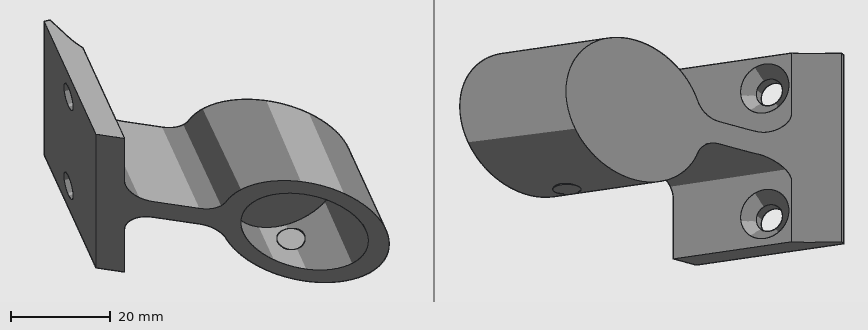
import cadquery as cq
import math

LENGTH_X = 62.0
DEPTH_Y = 51.95
PLATE_HEIGHT = 40.5
PLATE_THICKNESS = 5.1
WEB_THICKNESS = 4.8
FILLET_RADIUS = 5.0
END_ANGLE = 30.0
END_SLOPE = math.tan(math.radians(END_ANGLE))

BARREL_RADIUS = 15.0
BORE_RADIUS = 11.3
BORE_FLOOR_X = 40.9
AXIS_Y = DEPTH_Y - BARREL_RADIUS

SLANT_WIDTH = 23.05
TOE_THICKNESS = 1.25
TOE_ANGLE = 20.0
SWEEP_RADIUS = 20.0
RIGHT_FOOT_X = LENGTH_X - DEPTH_Y * END_SLOPE
LEFT_FOOT_X = RIGHT_FOOT_X - SLANT_WIDTH

MOUNT_HOLE_DIAMETER = 5.65
MOUNT_HOLE_X = 15.05
MOUNT_HOLE_SPACING = 26.9
MOUNT_HOLE_STRAIGHT = 2.65
SINK_ANGLE = 90.0

SCREW_DIAMETER = 5.7
SCREW_X = 44.9
SCREW_LENGTH = BARREL_RADIUS - BORE_RADIUS

SELECT_MARGIN = 0.05


def section_solid():
    """Plate, web and round barrel along X, with fillets where they join."""
    plate = cq.Workplane("XY").box(
        LENGTH_X, PLATE_THICKNESS, PLATE_HEIGHT, centered=(False, False, True)
    )
    web = cq.Workplane("XY").box(LENGTH_X, AXIS_Y, WEB_THICKNESS, centered=(False, False, True))
    barrel = cq.Workplane("YZ").center(AXIS_Y, 0).circle(BARREL_RADIUS).extrude(LENGTH_X)

    half_web = WEB_THICKNESS / 2
    barrel_joint_y = AXIS_Y - math.sqrt(BARREL_RADIUS**2 - half_web**2)
    body = plate.union(web).union(barrel)
    joints = cq.selectors.BoxSelector(
        (0, PLATE_THICKNESS - SELECT_MARGIN, -half_web - SELECT_MARGIN),
        (LENGTH_X, barrel_joint_y + SELECT_MARGIN, half_web + SELECT_MARGIN),
    )
    return body.edges("|X").edges(joints).fillet(FILLET_RADIUS)


def side_outline():
    """Prism between the slanted ends, with the left end swept into a thin toe."""
    toe_slope = math.tan(math.radians(TOE_ANGLE))
    corner_x = (LEFT_FOOT_X + TOE_THICKNESS * END_SLOPE) / (1 - toe_slope * END_SLOPE)
    corner_y = TOE_THICKNESS + corner_x * toe_slope
    corner = (corner_x, corner_y, 0)
    prism = (
        cq.Workplane("XY")
        .moveTo(0, 0)
        .lineTo(RIGHT_FOOT_X, 0)
        .lineTo(LENGTH_X, DEPTH_Y)
        .lineTo(LEFT_FOOT_X + DEPTH_Y * END_SLOPE, DEPTH_Y)
        .lineTo(corner_x, corner_y)
        .lineTo(0, TOE_THICKNESS)
        .close()
        .extrude(PLATE_HEIGHT / 2, both=True)
    )
    return prism.edges("|Z").edges(cq.selectors.NearestToPointSelector(corner)).fillet(SWEEP_RADIUS)


def socket_bore():
    """Flat-bottomed bore, open at the +X slanted end."""
    return (
        cq.Workplane("YZ", origin=(BORE_FLOOR_X, AXIS_Y, 0))
        .circle(BORE_RADIUS)
        .extrude(LENGTH_X - BORE_FLOOR_X)
    )


def mounting_holes():
    """Pair of holes through the plate along Y, countersunk from the barrel side."""
    radius = MOUNT_HOLE_DIAMETER / 2
    sink_depth = PLATE_THICKNESS - MOUNT_HOLE_STRAIGHT
    sink_radius = radius + sink_depth * math.tan(math.radians(SINK_ANGLE / 2))
    hole = (
        cq.Workplane("XY")
        .lineTo(radius, 0)
        .lineTo(radius, MOUNT_HOLE_STRAIGHT)
        .lineTo(sink_radius, PLATE_THICKNESS)
        .lineTo(0, PLATE_THICKNESS)
        .close()
        .revolve(360, (0, 0), (0, 1))
    )
    half_spacing = MOUNT_HOLE_SPACING / 2
    holes = cq.Workplane("XY")
    for z in (-half_spacing, half_spacing):
        holes = holes.add(hole.translate((MOUNT_HOLE_X, 0, z)))
    return holes.combine()


def screw_cylinder(length):
    """Upright cylinder of the screw diameter, from the barrel's lowest line."""
    return (
        cq.Workplane("XY", origin=(SCREW_X, AXIS_Y, -BARREL_RADIUS))
        .circle(SCREW_DIAMETER / 2)
        .extrude(length)
    )


def make_set_screw():
    """Plain plug reaching from the barrel's underside to the bore."""
    return screw_cylinder(SCREW_LENGTH)


def make_bracket():
    """Bracket with its bore, mounting holes and a through hole for the screw."""
    body = section_solid().intersect(side_outline())
    screw_hole = screw_cylinder(BARREL_RADIUS)
    for cutter in (socket_bore(), mounting_holes(), screw_hole):
        body = body.cut(cutter)
    return body


set_screw = make_set_screw()
bracket = make_bracket()

result = cq.Compound.makeCompound([bracket.val(), set_screw.val()])